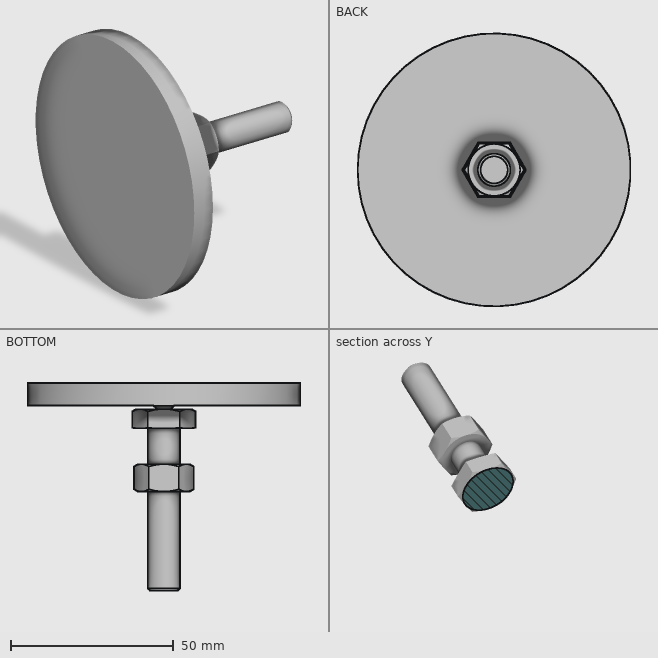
import cadquery as cq
import math


plate_diameter = 84.0
total_length = 64.0
plate_thickness = 7.05

neck_length = 1.0
neck_base_radius = 3.2
neck_top_radius = neck_base_radius - neck_length

head_across_flats = 17.0
head_thickness = 6.0
head_top_chamfer_depth = 0.21

stud_diameter = 10.0
stud_tip_chamfer = 0.8

nut_across_flats = 16.0
nut_thickness = 8.4
nut_start = 25.0

hex_chamfer_angle = math.radians(30)


def corner_radius_of(across_flats):
    return across_flats / 2 / math.cos(math.radians(30))


def corner_chamfer_depth(across_flats):
    return (corner_radius_of(across_flats) - across_flats / 2) * math.tan(hex_chamfer_angle)


plate_bottom = -total_length / 2
plate_top = plate_bottom + plate_thickness
head_bottom = plate_top + neck_length
head_top = head_bottom + head_thickness
stud_end = total_length / 2
nut_bottom = plate_bottom + nut_start


def cylinder_along_y(diameter, start, end):
    return cq.Workplane("XZ", origin=(0, start, 0)).circle(diameter / 2).extrude(start - end)


def hexagon_along_y(across_flats, start, thickness, start_chamfer_depth, end_chamfer_depth):
    """Hexagonal prism with corners on the X axis and conically chamfered ends."""
    flat_radius = across_flats / 2
    corner_radius = corner_radius_of(across_flats)
    end = start + thickness
    prism = (
        cq.Workplane("XZ", origin=(0, start, 0))
        .polygon(6, 2 * corner_radius)
        .extrude(-thickness)
    )
    envelope = (
        cq.Workplane("XY")
        .moveTo(0, start)
        .lineTo(flat_radius, start)
        .lineTo(corner_radius, start + start_chamfer_depth)
        .lineTo(corner_radius, end - end_chamfer_depth)
        .lineTo(flat_radius, end)
        .lineTo(0, end)
        .close()
        .revolve(360, (0, 0, 0), (0, 1, 0))
    )
    return prism.intersect(envelope)


def make_plate():
    return cylinder_along_y(plate_diameter, plate_bottom, plate_top)


def make_stud():
    neck = (
        cq.Workplane("XY")
        .moveTo(0, plate_top)
        .lineTo(neck_base_radius, plate_top)
        .lineTo(neck_top_radius, head_bottom)
        .lineTo(0, head_bottom)
        .close()
        .revolve(360, (0, 0, 0), (0, 1, 0))
    )
    head = hexagon_along_y(
        head_across_flats,
        head_bottom,
        head_thickness,
        start_chamfer_depth=corner_chamfer_depth(head_across_flats),
        end_chamfer_depth=head_top_chamfer_depth,
    )
    shank = cylinder_along_y(stud_diameter, head_top, stud_end).faces(">Y").chamfer(stud_tip_chamfer)
    return head.union(neck).union(shank)


def make_nut():
    chamfer_depth = corner_chamfer_depth(nut_across_flats)
    blank = hexagon_along_y(nut_across_flats, nut_bottom, nut_thickness, chamfer_depth, chamfer_depth)
    bore = cylinder_along_y(stud_diameter, nut_bottom, nut_bottom + nut_thickness)
    return blank.cut(bore)


plate = make_plate()
stud = make_stud()
nut = make_nut()

result = cq.Compound.makeCompound([plate.val(), stud.val(), nut.val()])